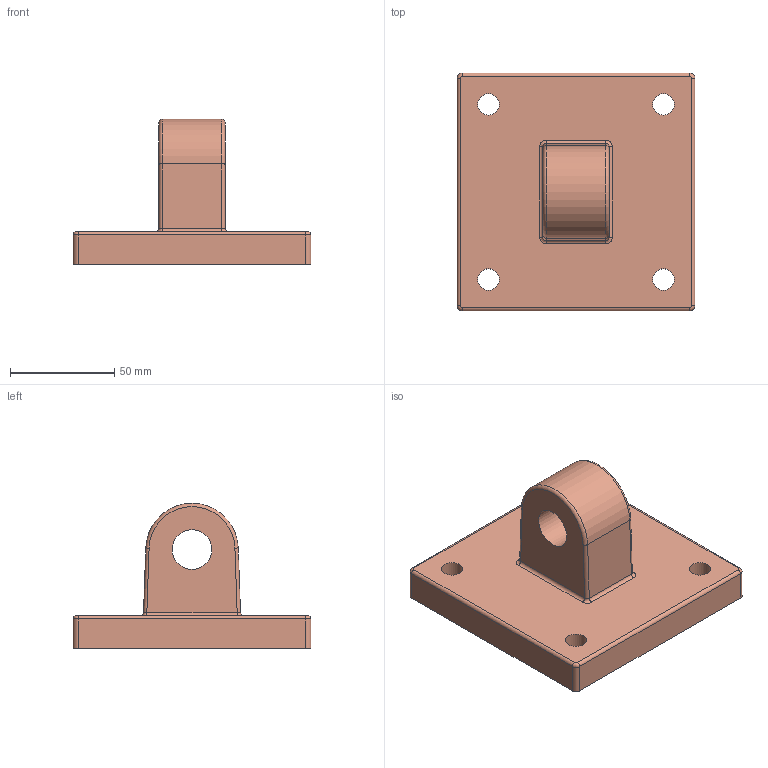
import cadquery as cq
import math

PLATE_SIDE = 114.3
PLATE_THICKNESS = 15.875
PLATE_CORNER_RADIUS = 2.54
PLATE_TOP_FILLET = 1.5875

MOUNT_HOLE_DIAMETER = 10.32
MOUNT_HOLE_SPACING = 84.14

TOTAL_HEIGHT = 69.85
LUG_WIDTH = 31.75
LUG_RADIUS = 22.225
LUG_DRAFT = math.radians(2)
LUG_EDGE_FILLET = 1.5875
LUG_FOOT_FILLET = 1.5875
BORE_DIAMETER = 19.05
BORE_HEIGHT = TOTAL_HEIGHT - LUG_RADIUS


def make_plate():
    """Square plate with rounded corners and a rounded top rim."""
    plate = cq.Workplane("XY").rect(PLATE_SIDE, PLATE_SIDE).extrude(PLATE_THICKNESS)
    plate = plate.edges("|Z").fillet(PLATE_CORNER_RADIUS)
    return plate.faces(">Z").edges().fillet(PLATE_TOP_FILLET)


def make_lug():
    """Round-topped lug with drafted flanks tangent to the arc, starting at the plate underside."""
    tangent_y = LUG_RADIUS * math.cos(LUG_DRAFT)
    tangent_z = BORE_HEIGHT + LUG_RADIUS * math.sin(LUG_DRAFT)
    foot_y = tangent_y + tangent_z * math.tan(LUG_DRAFT)
    lug = (
        cq.Workplane("YZ")
        .moveTo(-foot_y, 0)
        .lineTo(-tangent_y, tangent_z)
        .threePointArc((0, TOTAL_HEIGHT), (tangent_y, tangent_z))
        .lineTo(foot_y, 0)
        .close()
        .extrude(LUG_WIDTH / 2, both=True)
    )
    side_edges = lug.faces("<X or >X").edges("not <Z")
    return side_edges.fillet(LUG_EDGE_FILLET)


def fillet_lug_foot(body):
    """Blend the foot of the lug into the top of the plate."""
    reach = LUG_RADIUS + LUG_WIDTH / 2
    tolerance = 0.1
    foot_edges = cq.selectors.BoxSelector(
        (-reach, -reach, PLATE_THICKNESS - tolerance),
        (reach, reach, PLATE_THICKNESS + tolerance),
        boundingbox=True,
    )
    return body.edges(foot_edges).fillet(LUG_FOOT_FILLET)


def cut_bore(body):
    """Pin bore through the lug along X, concentric with its round top."""
    bore = (
        cq.Workplane("YZ")
        .center(0, BORE_HEIGHT)
        .circle(BORE_DIAMETER / 2)
        .extrude(LUG_WIDTH, both=True)
    )
    return body.cut(bore)


def cut_mounting_holes(body):
    """Four through holes on a square pattern."""
    holes = (
        cq.Workplane("XY")
        .rarray(MOUNT_HOLE_SPACING, MOUNT_HOLE_SPACING, 2, 2)
        .circle(MOUNT_HOLE_DIAMETER / 2)
        .extrude(PLATE_THICKNESS)
    )
    return body.cut(holes)


body = make_plate().union(make_lug())
body = fillet_lug_foot(body)
body = cut_bore(body)
result = cut_mounting_holes(body)